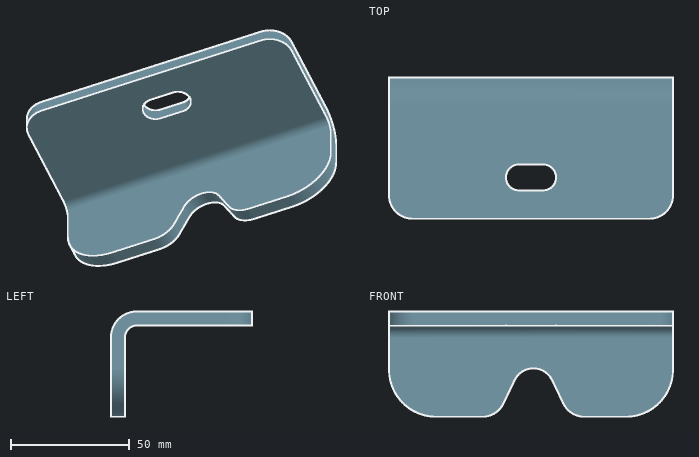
import cadquery as cq
import math

length = 119.58
depth = 59.46
height = 44.43

thickness = 6.0
inner_bend_radius = 5.0
outer_bend_radius = inner_bend_radius + thickness

shelf_corner_radius = 10.0
flange_corner_radius = 20.0

slot_length = 21.0
slot_width = 10.8
slot_from_front = 17.4

notch_offset = 1.0
notch_height = 20.4
notch_crown_radius = 8.7
notch_mouth_radius = 10.0
notch_side_angle = math.radians(25.6)

half_length = length / 2
front_y = -depth / 2
rear_y = depth / 2
bottom_z = -height
overcut = 1.0


def bent_plate():
    """L-shaped profile swept along X, with the top face at Z = 0."""
    profile = (
        cq.Workplane("YZ", origin=(-half_length, 0, 0))
        .moveTo(front_y, 0)
        .lineTo(rear_y, 0)
        .lineTo(rear_y, bottom_z)
        .lineTo(rear_y - thickness, bottom_z)
        .lineTo(rear_y - thickness, -thickness)
        .lineTo(front_y, -thickness)
        .close()
    )
    plate = profile.extrude(length)
    outer_corner = cq.selectors.NearestToPointSelector((0, rear_y, 0))
    plate = plate.edges(outer_corner).fillet(outer_bend_radius)
    inner_corner = cq.selectors.NearestToPointSelector((0, rear_y - thickness, -thickness))
    return plate.edges(inner_corner).fillet(inner_bend_radius)


def round_free_corners(plate):
    """Round the two shelf corners and the two flange corners."""
    plate = plate.faces("<Y").edges("|Z").fillet(shelf_corner_radius)
    return plate.faces("<Z").edges("|Y").fillet(flange_corner_radius)


def shelf_slot():
    """Obround cutter through the shelf."""
    return (
        cq.Workplane("XY", origin=(0, front_y + slot_from_front, overcut))
        .slot2D(slot_length, slot_width)
        .extrude(-(thickness + 2 * overcut))
    )


def flange_notch():
    """Cutter for the notch, built from arcs tangent to its sloping sides."""
    sine = math.sin(notch_side_angle)
    cosine = math.cos(notch_side_angle)
    crown_center_z = bottom_z + notch_height - notch_crown_radius
    mouth_center_z = bottom_z + notch_mouth_radius

    center_drop = crown_center_z - mouth_center_z
    mouth_center_x = (notch_crown_radius + notch_mouth_radius + center_drop * sine) / cosine

    side_top_x = notch_crown_radius * cosine
    side_top_z = crown_center_z + notch_crown_radius * sine
    side_bottom_x = mouth_center_x - notch_mouth_radius * cosine
    side_bottom_z = mouth_center_z - notch_mouth_radius * sine

    middle_angle = (notch_side_angle + math.pi / 2) / 2
    mouth_middle_x = mouth_center_x - notch_mouth_radius * math.cos(middle_angle)
    mouth_middle_z = mouth_center_z - notch_mouth_radius * math.sin(middle_angle)

    return (
        cq.Workplane("XZ", origin=(notch_offset, rear_y + overcut, 0))
        .moveTo(-mouth_center_x, bottom_z)
        .threePointArc((-mouth_middle_x, mouth_middle_z), (-side_bottom_x, side_bottom_z))
        .lineTo(-side_top_x, side_top_z)
        .threePointArc((0, bottom_z + notch_height), (side_top_x, side_top_z))
        .lineTo(side_bottom_x, side_bottom_z)
        .threePointArc((mouth_middle_x, mouth_middle_z), (mouth_center_x, bottom_z))
        .close()
        .extrude(thickness + 2 * overcut)
    )


result = round_free_corners(bent_plate()).cut(shelf_slot()).cut(flange_notch())